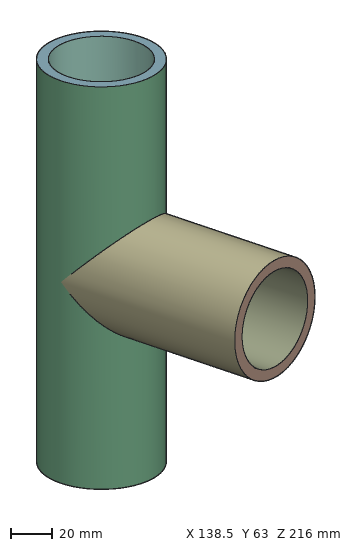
import cadquery as cq

run_length = 216.0
outer_diameter = 63.0
bore_diameter = 51.5
overall_width = 138.5

outer_radius = outer_diameter / 2
branch_reach = overall_width - outer_radius


def tee_cylinders(diameter):
    """Run and branch cylinders of one diameter, joined on crossing axes."""
    run = cq.Workplane("XY").circle(diameter / 2).extrude(run_length / 2, both=True)
    branch = cq.Workplane("YZ").circle(diameter / 2).extrude(branch_reach)
    return run.union(branch)


result = tee_cylinders(outer_diameter).cut(tee_cylinders(bore_diameter))